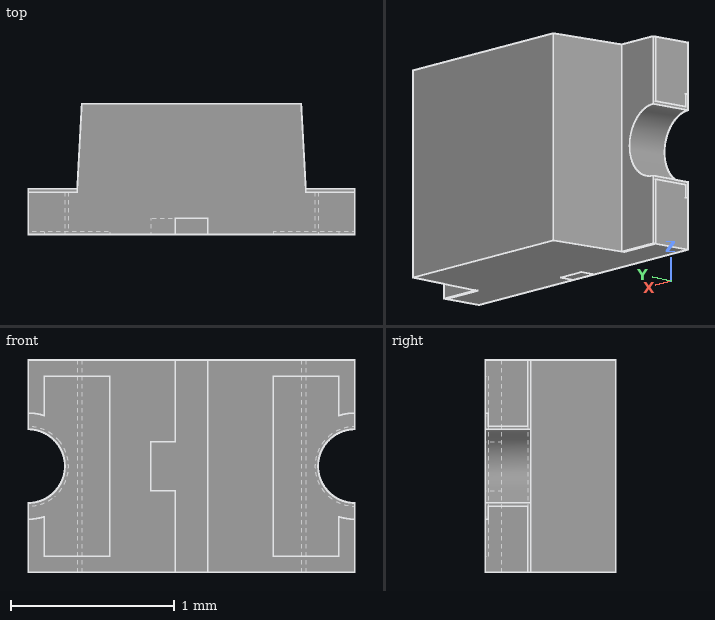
import cadquery as cq

LENGTH = 2.0
WIDTH = 1.3
HEIGHT = 0.8

BOARD_THICKNESS = 0.28
LEDGE_LENGTH = 0.3
LENS_TAPER_INSET = 0.028

METAL_THICKNESS = 0.02
NOTCH_DIAMETER = 0.45
COLLAR_WIDTH = 0.1
PAD_MARGIN = 0.1
PAD_LENGTH = 0.4

MARK_DEPTH = 0.1
STRIPE_END_SKIN = 0.002
STRIPE_WIDTH = 0.2
TAB_LENGTH = 0.15
TAB_WIDTH = 0.3

HALF_LENGTH = LENGTH / 2
NOTCH_RADIUS = NOTCH_DIAMETER / 2
BARREL_RADIUS = NOTCH_RADIUS + METAL_THICKNESS
COLLAR_RADIUS = NOTCH_RADIUS + COLLAR_WIDTH
LENS_BASE_HALF = HALF_LENGTH - LEDGE_LENGTH
LENS_TOP_HALF = LENS_BASE_HALF - LENS_TAPER_INSET


def block(x_start, x_end, y_start, y_end, z_size):
    """Box between the given X and Y limits, centred on Z = 0."""
    return (
        cq.Workplane("XY")
        .box(x_end - x_start, y_end - y_start, z_size)
        .translate(((x_start + x_end) / 2, (y_start + y_end) / 2, 0))
    )


def left_end_disc(radius, thickness):
    """Cylinder along Y on the -X end edge, starting at the solder face."""
    return cq.Workplane("XZ", origin=(-HALF_LENGTH, 0, 0)).circle(radius).extrude(-thickness)


def make_left_terminal():
    ledge_start = BOARD_THICKNESS - METAL_THICKNESS
    ledge_plate = block(-HALF_LENGTH, -LENS_BASE_HALF, ledge_start, BOARD_THICKNESS, WIDTH)
    barrel = left_end_disc(BARREL_RADIUS, BOARD_THICKNESS)
    collar = left_end_disc(COLLAR_RADIUS, METAL_THICKNESS)
    pad_start = -HALF_LENGTH + PAD_MARGIN
    pad = block(pad_start, pad_start + PAD_LENGTH, 0, METAL_THICKNESS, WIDTH - 2 * PAD_MARGIN)
    board_space = block(-HALF_LENGTH, HALF_LENGTH, 0, BOARD_THICKNESS, WIDTH)
    notch = left_end_disc(NOTCH_RADIUS, BOARD_THICKNESS)
    return ledge_plate.union(barrel).union(collar).union(pad).intersect(board_space).cut(notch)


def make_polarity_mark():
    stripe_half = STRIPE_WIDTH / 2
    stripe = block(-stripe_half, stripe_half, 0, MARK_DEPTH, WIDTH - 2 * STRIPE_END_SKIN)
    tab = block(-stripe_half - TAB_LENGTH, -stripe_half, 0, MARK_DEPTH, TAB_WIDTH)
    return stripe.union(tab)


def make_housing(inserts):
    """Board and lens in one piece, with the end notches and a recess for each insert."""
    board = block(-HALF_LENGTH, HALF_LENGTH, 0, BOARD_THICKNESS, WIDTH)
    lens_outline = [
        (-LENS_BASE_HALF, BOARD_THICKNESS),
        (LENS_BASE_HALF, BOARD_THICKNESS),
        (LENS_TOP_HALF, HEIGHT),
        (-LENS_TOP_HALF, HEIGHT),
    ]
    lens = cq.Workplane("XY").polyline(lens_outline).close().extrude(WIDTH / 2, both=True)
    left_notch = left_end_disc(NOTCH_RADIUS, BOARD_THICKNESS)
    housing = board.union(lens).cut(left_notch).cut(left_notch.mirror("YZ"))
    for insert in inserts:
        housing = housing.cut(insert)
    return housing


left_terminal = make_left_terminal()
terminals = [left_terminal, left_terminal.mirror("YZ")]
polarity_mark = make_polarity_mark()
housing = make_housing([*terminals, polarity_mark])

bodies = [housing, polarity_mark, *terminals]
result = cq.Compound.makeCompound([body.solids().val() for body in bodies])